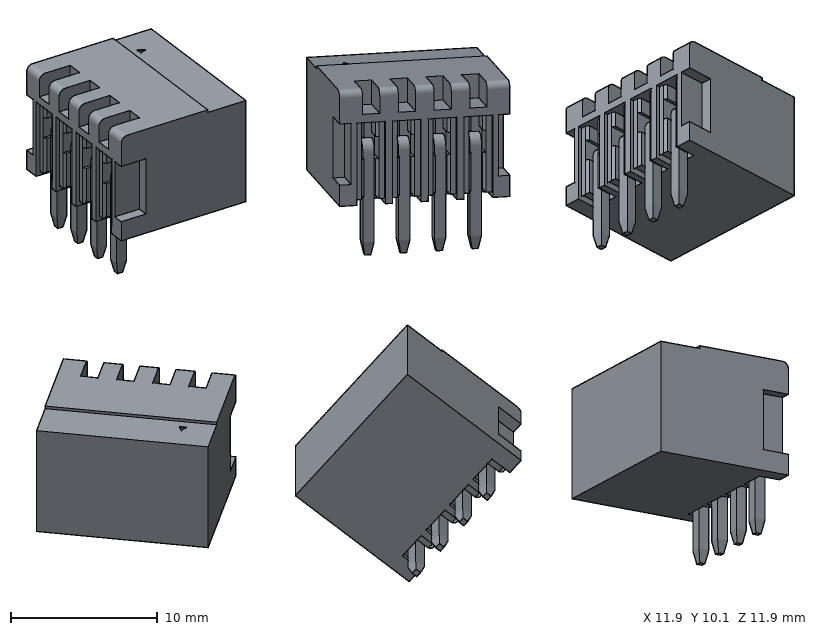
import cadquery as cq
import math

width = 11.9
depth = 10.1
height = 8.1
front_radius = 0.5
rear_step_length = 3.09
rear_step_drop = 0.2

contact_count = 4
pitch = 2.5
pin_size = 0.8
pin_front_inset = 0.8
pin_top = 4.31
pin_length_below = 3.8
tip_length = 0.94
tip_size = 0.42

notch_width = 1.2
notch_depth = 1.7
notch_length = 2.5

overhang_z = height - 2.3

pocket_bottom = 1.5
pocket_width = 0.81
pocket_length = 2.0

channel_width = 2.0
channel_depth = 0.3
lead_in_depth = 0.18
lead_in_rise = 0.15
underside_relief = 0.32
window_bottom = 3.12
window_top = 4.68

mark_size = 0.51
mark_depth = 0.1
mark_base_inset = 2.4

front_y = -depth / 2
rear_y = depth / 2
pin_front_y = front_y + pin_front_inset
pin_back_y = pin_front_y + pin_size
channel_back_y = front_y + channel_depth
lead_in_back_y = channel_back_y + lead_in_depth
contact_x = [(i - (contact_count - 1) / 2) * pitch for i in range(contact_count)]


def block(x_range, y_range, z_range):
    """Box between pairs of X, Y and Z limits."""
    x0, x1 = x_range
    y0, y1 = y_range
    z0, z1 = z_range
    return cq.Workplane("XY").box(x1 - x0, y1 - y0, z1 - z0, centered=False).translate((x0, y0, z0))


def centred_block(x, block_width, y_range, z_range):
    """Box of a given width centred on x."""
    return block((x - block_width / 2, x + block_width / 2), y_range, z_range)


def extrude_side_profile(profile, x, profile_width):
    """Extrude a closed YZ outline to a given width centred on x."""
    return profile.extrude(profile_width / 2, both=True).translate((x, 0, 0))


def make_housing():
    body = block((-width / 2, width / 2), (front_y, rear_y), (0, height))
    body = body.edges("|X and >Z and <Y").fillet(front_radius)
    step = block(
        (-width / 2, width / 2), (rear_y - rear_step_length, rear_y), (height - rear_step_drop, height)
    )
    return body.cut(step)


def make_notch(x):
    return centred_block(x, notch_width, (front_y, front_y + notch_length), (height - notch_depth, height))


def make_corner_pocket(side):
    centre_x = side * (width - pocket_width) / 2
    return centred_block(
        centre_x, pocket_width, (front_y, front_y + pocket_length), (pocket_bottom, overhang_z)
    )


def make_pin_channel(x):
    """Wide shallow channel, tapering lead-in, pin slot, window and underside relief."""
    wide = centred_block(x, channel_width, (front_y, channel_back_y), (0, overhang_z))
    half_mouth = notch_width / 2
    half_pin = pin_size / 2
    slot = (
        cq.Workplane("XY")
        .polyline([
            (x - half_mouth, channel_back_y),
            (x + half_mouth, channel_back_y),
            (x + half_pin, lead_in_back_y),
            (x + half_pin, pin_back_y),
            (x - half_pin, pin_back_y),
            (x - half_pin, lead_in_back_y),
        ])
        .close()
        .extrude(overhang_z)
    )
    window = centred_block(x, notch_width, (channel_back_y, pin_back_y), (window_bottom, window_top))
    relief_profile = (
        cq.Workplane("YZ")
        .moveTo(channel_back_y, 0)
        .lineTo(channel_back_y, underside_relief)
        .lineTo(lead_in_back_y, underside_relief + lead_in_rise)
        .lineTo(pin_back_y, underside_relief + lead_in_rise)
        .lineTo(pin_back_y, 0)
        .close()
    )
    relief = extrude_side_profile(relief_profile, x, channel_width)
    return wide.union(slot).union(window).union(relief)


def make_pin(x):
    """Square pin with a rounded top bend and a tapered tip."""
    shoulder_z = tip_length - pin_length_below
    bend_inset = pin_size * (1 - math.sqrt(0.5))
    shank_profile = (
        cq.Workplane("YZ")
        .moveTo(pin_front_y, shoulder_z)
        .lineTo(pin_front_y, pin_top - pin_size)
        .threePointArc((pin_front_y + bend_inset, pin_top - bend_inset), (pin_back_y, pin_top))
        .lineTo(pin_back_y, shoulder_z)
        .close()
    )
    shank = extrude_side_profile(shank_profile, x, pin_size)
    tip = (
        cq.Workplane("XY", origin=(x, pin_front_y + pin_size / 2, shoulder_z))
        .rect(pin_size, pin_size)
        .workplane(offset=-tip_length)
        .rect(tip_size, tip_size)
        .loft()
    )
    return shank.union(tip)


def make_first_contact_mark():
    x = contact_x[0]
    base_y = rear_y - mark_base_inset
    return (
        cq.Workplane("XY", origin=(0, 0, height - rear_step_drop))
        .polyline([(x - mark_size / 2, base_y), (x + mark_size / 2, base_y), (x, base_y + mark_size)])
        .close()
        .extrude(-mark_depth)
    )


result = make_housing().cut(make_first_contact_mark())
for side in (-1, 1):
    result = result.cut(make_corner_pocket(side))
for x in contact_x:
    result = result.cut(make_notch(x)).cut(make_pin_channel(x)).union(make_pin(x))